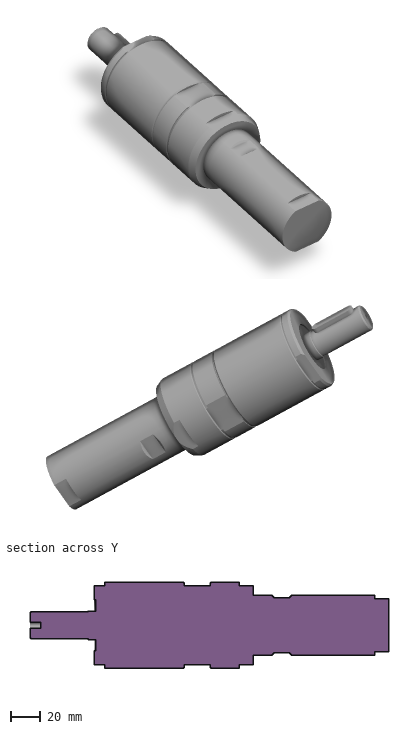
import cadquery as cq

total_length = 247.5
shaft_relief_start = 36.0
collar_start = 39.8
body_start = 44.0
front_groove_start = 50.2
front_groove_end = 51.2
barrel_end = 106.5
middle_groove_end = 107.2
wrench_ring_end = 122.8
rear_groove_end = 124.2
rear_flat_start = 144.3
nose_start = 148.7
body_end = 154.0

shaft_radius = 19.0 / 2
shaft_relief_radius = 18.8 / 2
collar_radius = 20.0 / 2
body_radius = 60.0 / 2
groove_radius = 58.2 / 2
nose_end_radius = 27.5
tube_radius = 41.5 / 2

shaft_chamfer = 1.0
collar_chamfer = 0.5
front_chamfer_length = 1.7
barrel_chamfer = 1.0
ring_chamfer = 0.5

body_flat_height = 54.7 / 2
tube_flat_height = 18.3
tube_flat_length = 9.7

notch_height = 38.0 / 2
notch_start = 168.3
notch_end = 178.7

key_start = 4.5
key_length = 32.5
key_width = 7.0
key_top = 12.5
key_bottom = 6.0
recess_radius = 35.0 / 2
recess_depth = 1.0
center_hole_diameter = 3.7
center_hole_depth = 7.5


def revolve_profile(points):
    """Revolve (x, radius) points, closed along the axis, about the X axis."""
    outline = [(points[0][0], 0), *points, (points[-1][0], 0)]
    return cq.Workplane("XY").polyline(outline).close().revolve(360, (0, 0, 0), (1, 0, 0))


def cylinder(start, end, radius):
    return cq.Workplane("YZ", origin=(start, 0, 0)).circle(radius).extrude(end - start)


def make_shaft():
    return revolve_profile([
        (0, shaft_radius - shaft_chamfer),
        (shaft_chamfer, shaft_radius),
        (shaft_relief_start, shaft_radius),
        (shaft_relief_start, shaft_relief_radius),
        (collar_start, shaft_relief_radius),
        (collar_start, collar_radius - collar_chamfer),
        (collar_start + collar_chamfer, collar_radius),
        (body_start + recess_depth, collar_radius),
    ])


def make_body():
    body = revolve_profile([
        (body_start, groove_radius),
        (body_start + front_chamfer_length, body_radius),
        (front_groove_start, body_radius),
        (front_groove_start, groove_radius),
        (front_groove_end, groove_radius),
        (front_groove_end + ring_chamfer, body_radius),
        (barrel_end - barrel_chamfer, body_radius),
        (barrel_end, groove_radius),
        (middle_groove_end, groove_radius),
        (middle_groove_end, body_radius),
        (wrench_ring_end, body_radius),
        (wrench_ring_end, groove_radius),
        (rear_groove_end, groove_radius),
        (rear_groove_end + ring_chamfer, body_radius),
        (nose_start, body_radius),
        (body_end, nose_end_radius),
    ])
    return body.cut(cylinder(body_start, body_start + recess_depth, recess_radius))


def flat_cutters(start, end, height):
    """Pair of blocks that leave flats at +height and -height between two stations."""
    block_depth = body_radius
    upper = cq.Workplane("XY").box(
        end - start, 2 * body_radius, block_depth, centered=(False, True, False)
    ).translate((start, 0, height))
    return upper.union(upper.mirror("XY"))


def notch_cutters():
    """Opposed notches with 45 degree end walls."""
    rise = body_radius - notch_height
    upper = (
        cq.Workplane("XZ")
        .polyline([
            (notch_start, notch_height),
            (notch_end, notch_height),
            (notch_end + rise, body_radius),
            (notch_start - rise, body_radius),
        ])
        .close()
        .extrude(tube_radius, both=True)
    )
    return upper.union(upper.mirror("XY"))


def make_tube():
    tube = cylinder(body_end, total_length, tube_radius)
    tube = tube.cut(flat_cutters(total_length - tube_flat_length, total_length, tube_flat_height))
    return tube.cut(notch_cutters())


def make_key():
    """Round-ended key standing out of the +Y side of the shaft."""
    return (
        cq.Workplane("XZ", origin=(key_start + key_length / 2, key_bottom, 0))
        .slot2D(key_length, key_width)
        .extrude(-(key_top - key_bottom))
    )


body = make_body()
for flat_start, flat_end in (
    (body_start, front_groove_end),
    (barrel_end, rear_groove_end),
    (rear_flat_start, body_end),
):
    body = body.cut(flat_cutters(flat_start, flat_end, body_flat_height))

result = make_shaft().union(body).union(make_tube()).union(make_key())
result = result.cut(cylinder(0, center_hole_depth, center_hole_diameter / 2))